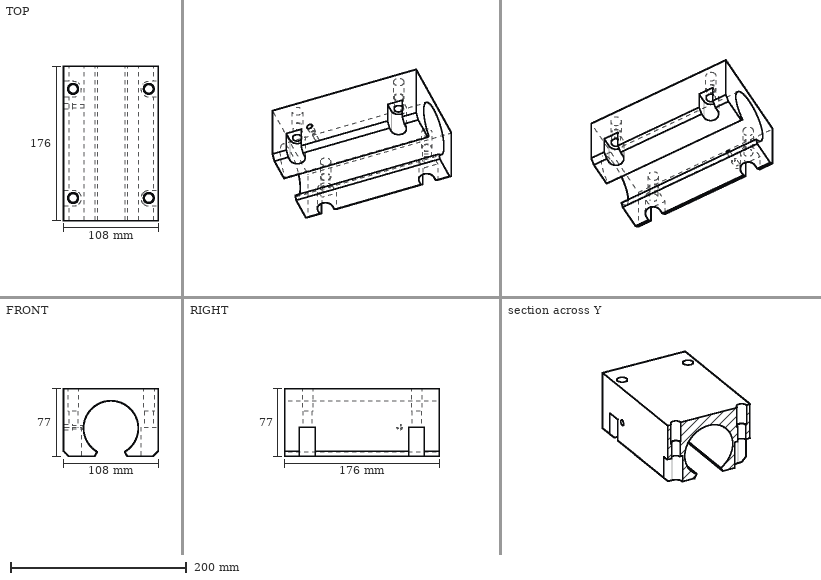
import cadquery as cq
import math

WIDTH = 108.0
LENGTH = 176.0
HEIGHT = 77.0
LOWER_CHAMFER = 6.0

BORE_RADIUS = 31.0
BORE_AXIS_Z = 32.0
MOUTH_ANGLE = 60.0

MOUNT_PITCH_X = 86.0
MOUNT_PITCH_Y = 124.0
MOUNT_ENTRY_DIAMETER = 12.0
MOUNT_ENTRY_DEPTH = 25.0
MOUNT_CORE_DIAMETER = 10.3
SLOT_WIDTH = 18.0
SLOT_HEIGHT = 33.0

PORT_Y = 42.5
PORT_Z = 33.5
PORT_ENTRY_DIAMETER = 6.5
PORT_ENTRY_DEPTH = 10.0
PORT_CORE_DIAMETER = 4.0

MOUNT_POINTS = [
    (side_x * MOUNT_PITCH_X / 2, side_y * MOUNT_PITCH_Y / 2)
    for side_x in (-1, 1)
    for side_y in (-1, 1)
]


def make_block():
    """Block resting on Z = 0, centred in X and Y, with its lower long edges chamfered."""
    block = cq.Workplane("XY").box(WIDTH, LENGTH, HEIGHT, centered=(True, True, False))
    lower_long_edges = block.faces("<Z").edges("|Y")
    return lower_long_edges.chamfer(LOWER_CHAMFER)


def make_bore():
    """Round bore plus a mouth whose sides run radially from the bore axis."""
    mouth_half_width = BORE_AXIS_Z * math.tan(math.radians(MOUTH_ANGLE / 2))
    end_plane = cq.Workplane("XZ", origin=(0, LENGTH / 2, 0))
    bore = end_plane.center(0, BORE_AXIS_Z).circle(BORE_RADIUS).extrude(LENGTH)
    mouth = (
        end_plane.moveTo(0, BORE_AXIS_Z)
        .lineTo(mouth_half_width, 0)
        .lineTo(-mouth_half_width, 0)
        .close()
        .extrude(LENGTH)
    )
    return bore.union(mouth)


def make_mount_holes():
    """Vertical holes with a wider upper length."""
    core = cq.Workplane("XY").pushPoints(MOUNT_POINTS).circle(MOUNT_CORE_DIAMETER / 2).extrude(HEIGHT)
    entry = (
        cq.Workplane("XY", origin=(0, 0, HEIGHT))
        .pushPoints(MOUNT_POINTS)
        .circle(MOUNT_ENTRY_DIAMETER / 2)
        .extrude(-MOUNT_ENTRY_DEPTH)
    )
    return core.union(entry)


def make_bolt_slot(x, y):
    """Slot open to the nearest side and the bottom, rounded about the mounting hole."""
    side_x = math.copysign(WIDTH / 2, x)
    half_width = SLOT_WIDTH / 2
    inner_x = x - math.copysign(half_width, x)
    return (
        cq.Workplane("XY")
        .moveTo(side_x, y - half_width)
        .lineTo(x, y - half_width)
        .threePointArc((inner_x, y), (x, y + half_width))
        .lineTo(side_x, y + half_width)
        .close()
        .extrude(SLOT_HEIGHT)
    )


def make_side_port():
    """Horizontal port with a wider entry on the -X face, ending inside the bore."""
    face_plane = cq.Workplane("YZ", origin=(-WIDTH / 2, PORT_Y, PORT_Z))
    core = face_plane.circle(PORT_CORE_DIAMETER / 2).extrude(WIDTH / 2)
    entry = face_plane.circle(PORT_ENTRY_DIAMETER / 2).extrude(PORT_ENTRY_DEPTH)
    return core.union(entry)


result = make_block().cut(make_bore()).cut(make_mount_holes())
for mount_x, mount_y in MOUNT_POINTS:
    result = result.cut(make_bolt_slot(mount_x, mount_y))
result = result.cut(make_side_port())